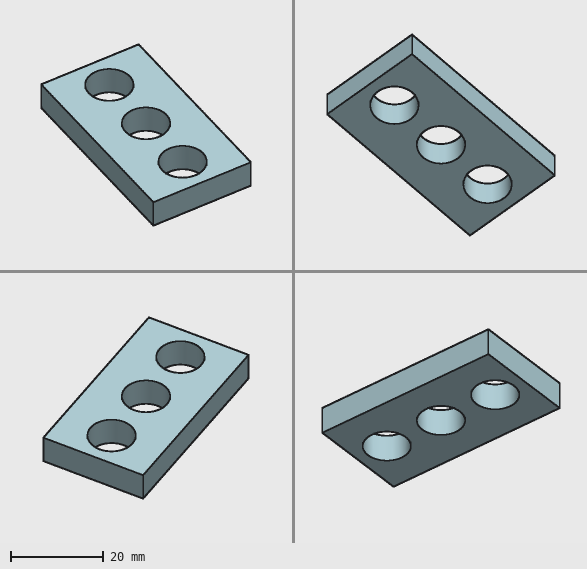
import cadquery as cq

length = 46.0
width = 25.0
thickness = 6.75
hole_diameter = 10.5
hole_pitch = 15.0
hole_count = 3

plate = cq.Workplane("XY").box(length, width, thickness)

result = (
    plate.faces(">Z")
    .workplane()
    .rarray(hole_pitch, 0.45, hole_count, 1)
    .hole(hole_diameter)
)